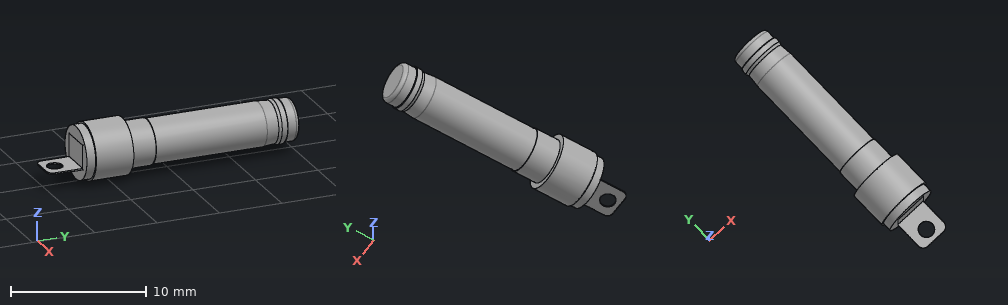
import cadquery as cq

overall_length = 20.0

terminal_width = 2.6
terminal_height = 1.95
terminal_bottom = -0.9
terminal_thickness = 0.12
tab_length = 2.7
tab_corner_radius = 0.5
tab_hole_diameter = 1.2
tab_hole_from_end = 1.0

rear_insulator_diameter = 4.2
rear_insulator_length = 0.7

flange_diameter = 4.5
flange_length = 3.0
collar_diameter = 3.6
collar_length = 2.0
barrel_diameter = 3.48
groove_diameter = 3.3
groove_wall_width = 0.25
groove_run_out = 0.95
groove_arc_sag = 0.01
rim_width = 0.48
rim_chamfer = 0.05

front_cap_diameter = groove_diameter
front_cap_length = 1.0
front_cap_fillet = 0.3

insulator_rear = tab_length
flange_rear = insulator_rear + rear_insulator_length
flange_front = flange_rear + flange_length
collar_front = flange_front + collar_length
shell_front = overall_length - front_cap_length
rim_rear = shell_front - rim_width
groove_bottom = rim_rear - groove_wall_width
groove_start = groove_bottom - groove_run_out


def cylinder_along_y(diameter, start, length):
    """Solid cylinder on the Y axis, running from start toward +Y."""
    return cq.Workplane("XZ", origin=(0, start, 0)).circle(diameter / 2).extrude(-length)


def make_terminal():
    """Flat tab with a wire hole, and an upright plate at its inner end."""
    strip = cq.Workplane("XY", origin=(0, 0, terminal_bottom))
    tab = (
        strip.center(0, tab_length / 2)
        .rect(terminal_width, tab_length)
        .extrude(terminal_thickness)
        .edges("|Z and <Y")
        .fillet(tab_corner_radius)
    )
    hole = (
        strip.center(0, tab_hole_from_end)
        .circle(tab_hole_diameter / 2)
        .extrude(terminal_thickness)
    )
    plate = strip.center(0, tab_length + terminal_thickness / 2)
    plate = plate.rect(terminal_width, terminal_thickness).extrude(terminal_height)
    return tab.cut(hole).union(plate)


def make_rear_insulator(terminal):
    """Disc behind the flange, recessed so the terminal plate sits flush."""
    disc = cylinder_along_y(rear_insulator_diameter, insulator_rear, rear_insulator_length)
    return disc.cut(terminal)


def make_shell():
    """Turned shell: flange, collar, barrel, and a shallow groove behind the front rim."""
    flange_radius = flange_diameter / 2
    collar_radius = collar_diameter / 2
    barrel_radius = barrel_diameter / 2
    groove_radius = groove_diameter / 2
    run_out_middle_radius = (barrel_radius + groove_radius) / 2 - groove_arc_sag
    run_out_middle = groove_start + groove_run_out / 2
    profile = (
        cq.Workplane("XY")
        .moveTo(0, flange_rear)
        .lineTo(flange_radius, flange_rear)
        .lineTo(flange_radius, flange_front)
        .lineTo(collar_radius, flange_front)
        .lineTo(collar_radius, collar_front)
        .lineTo(barrel_radius, collar_front)
        .lineTo(barrel_radius, groove_start)
        .threePointArc((run_out_middle_radius, run_out_middle), (groove_radius, groove_bottom))
        .lineTo(barrel_radius, rim_rear)
        .lineTo(barrel_radius, shell_front - rim_chamfer)
        .lineTo(barrel_radius - rim_chamfer, shell_front)
        .lineTo(0, shell_front)
        .close()
    )
    return profile.revolve(360, (0, 0, 0), (0, 1, 0))


def make_front_cap():
    """Insulating cap with a rounded front edge."""
    cap = cylinder_along_y(front_cap_diameter, shell_front, front_cap_length)
    return cap.faces(">Y").edges().fillet(front_cap_fillet)


terminal = make_terminal()
rear_insulator = make_rear_insulator(terminal)
shell = make_shell()
front_cap = make_front_cap()

result = cq.Compound.makeCompound(
    [terminal.val(), rear_insulator.val(), shell.val(), front_cap.val()]
)